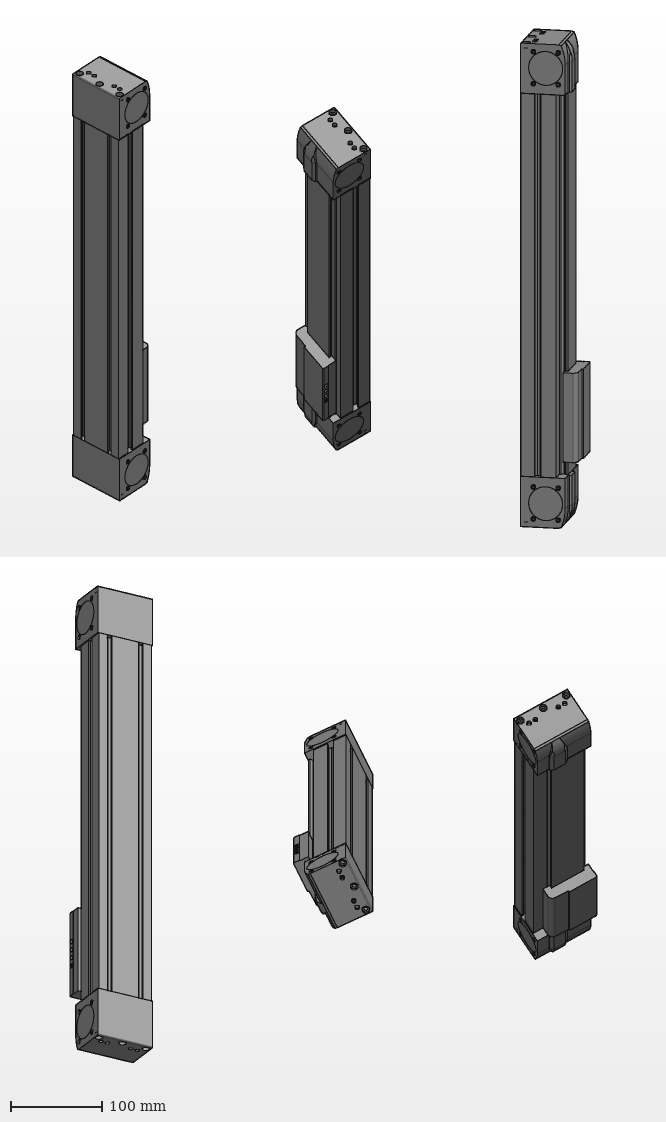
import cadquery as cq


SMALL_HOLE_DIAMETER = 3.2

LENGTH = 546.0
WIDTH = 69.0

HEAD_LENGTH = 57.0
HEAD_HEIGHT = 50.0
HEAD_END_HEIGHT = 43.0
HEAD_LIP_RISE = 3.0
HEAD_LIP_LENGTH = 1.0
HEAD_NOSE_LENGTH = 22.5
HEAD_EDGE_RADIUS = 1.0

HUMP_X = 8.0
HUMP_HEIGHT = 54.0
HUMP_WIDTH = 23.0
HUMP_TIP_WIDTH = 9.5
HUMP_SHOULDER = 52.0
HUMP_TAPER = 62.0
HUMP_OVERRUN = 11.0

COVER_DIAMETER = 38.0
COVER_DEPTH = 5.5
COVER_Y = 28.5
COVER_Z = 27.5
SIDE_HOLE_BORE = 5.0
SIDE_HOLE_BORE_DEPTH = 1.5
SIDE_HOLE_DEPTH = 8.0
SIDE_HOLE_PITCH_Y = 28.0
SIDE_HOLE_PITCH_Z = 36.0

END_SCREW_X = 29.5
END_SCREW_Y = 6.0
END_SCREW_BORE = 8.0
END_SCREW_BORE_DEPTH = 5.5
END_SCREW_HOLE = 4.5
END_SCREW_HOLE_DEPTH = 16.5
MIDDLE_CORE_DEPTH = 22.0
INNER_PORT_X = 15.0
OUTER_PORT_X = 23.0
PORT_Y = 13.5
PORT_DIAMETER = 5.0
PORT_DEPTH = 5.5
INNER_PORT_CORE_DEPTH = 11.0

PROFILE_WIDTH = 66.5
PROFILE_HEIGHT = 40.0
SLOT_X = 19.5
SIDE_SLOT_Y = 19.0
BOTTOM_SLOT_MOUTH = 5.5
SIDE_SLOT_MOUTH = 7.0
SLOT_MOUTH_DEPTH = 2.0
SLOT_INNER_WIDTH = 10.0
SLOT_DEPTH = 6.0
SLOT_FLOOR_GROOVE_WIDTH = 3.0
SLOT_FLOOR_GROOVE_DEPTH = 1.0

RAIL_WIDTH = 41.5
RAIL_WAIST_WIDTH = 36.0
RAIL_TOP = 49.5
RAIL_GROOVE_TOP = 47.5
RAIL_WAIST_TOP = 45.5
RAIL_WAIST_BOTTOM = 44.0
RAIL_GROOVE_BOTTOM = 41.5

CARRIAGE_BOTTOM_Z = 72.5
CARRIAGE_LENGTH = 101.0
CARRIAGE_BOTTOM = 46.0
CARRIAGE_TOP = 64.0
CARRIAGE_LEFT = -WIDTH / 2
CARRIAGE_RIGHT = 24.5
CARRIAGE_MIDDLE = (CARRIAGE_LEFT + CARRIAGE_RIGHT) / 2
TOP_LEFT_CHAMFER = 1.0
STEP_X = 1.5
STEP_DROP = 1.5
SLOPE_END_X = 18.5
SLOPE_DROP = 2.0
SHOULDER_DROP = 7.0
FLANK_INSET = 0.5
FLANK_TOP = 56.0
CARRIAGE_HOLE_Y = 59.5
CARRIAGE_HOLE_COUNT = 4
CARRIAGE_HOLE_PITCH = 10.0
CARRIAGE_HOLE_DIAMETER = 5.0
CARRIAGE_HOLE_DEPTH = 8.0
STEPPED_HOLE_BORE_DEPTH = 1.0

HEAD_JOINT_Z = LENGTH - HEAD_LENGTH
PROFILE_LENGTH = LENGTH - 2 * HEAD_LENGTH
NOSE_START_Z = LENGTH - HEAD_NOSE_LENGTH
COVER_CENTRE_Z = LENGTH - COVER_Z
CARRIAGE_MIDDLE_Z = CARRIAGE_BOTTOM_Z + CARRIAGE_LENGTH / 2


def head_side_outline(height):
    """Side outline of the upper head, with a rounded nose that rises to the given height."""
    lip_y = HEAD_END_HEIGHT + HEAD_LIP_RISE
    lip_z = LENGTH - HEAD_LIP_LENGTH
    return (
        cq.Workplane("YZ")
        .moveTo(0, HEAD_JOINT_Z)
        .lineTo(height, HEAD_JOINT_Z)
        .lineTo(height, NOSE_START_Z)
        .tangentArcPoint((lip_y, lip_z), relative=False)
        .lineTo(HEAD_END_HEIGHT, LENGTH)
        .lineTo(0, LENGTH)
        .close()
    )


def hump_footprint():
    """Plan outline of the hump, narrowing to the end of the head and overrunning its inner face."""
    start_z = HEAD_JOINT_Z - HUMP_OVERRUN
    return (
        cq.Workplane("XZ", origin=(HUMP_X, HUMP_SHOULDER, 0))
        .moveTo(-HUMP_WIDTH / 2, start_z)
        .lineTo(HUMP_WIDTH / 2, start_z)
        .lineTo(HUMP_WIDTH / 2, NOSE_START_Z)
        .lineTo(HUMP_TIP_WIDTH / 2, LENGTH)
        .lineTo(-HUMP_TIP_WIDTH / 2, LENGTH)
        .lineTo(-HUMP_WIDTH / 2, NOSE_START_Z)
        .close()
    )


def make_hump():
    """Raised tape guide with sloping flanks, following the nose of the head."""
    base = hump_footprint().extrude(HUMP_SHOULDER - HEAD_END_HEIGHT)
    crown = hump_footprint().extrude(HUMP_SHOULDER - HUMP_HEIGHT, taper=HUMP_TAPER)
    side = head_side_outline(HUMP_HEIGHT).extrude(WIDTH / 2, both=True)
    return base.union(crown).intersect(side)


def side_face(side):
    """Workplane on a side face of the upper head, centred on its cover; side is -1 or 1.

    Local x is Y, local y is Z, and positive extrusion goes outwards to +X.
    """
    return cq.Workplane("YZ", origin=(side * WIDTH / 2, COVER_Y, COVER_CENTRE_Z))


def make_cover(side):
    """Round cover, flush with the side face of the upper head."""
    return side_face(side).circle(COVER_DIAMETER / 2).extrude(-side * COVER_DEPTH)


def side_holes(side, diameter, depth):
    """Round cutters for the four holes around a cover."""
    return (
        side_face(side)
        .rect(SIDE_HOLE_PITCH_Y, SIDE_HOLE_PITCH_Z, forConstruction=True)
        .vertices()
        .circle(diameter / 2)
        .extrude(-side * depth)
    )


def cut_side_features(head, side):
    """Recess for the cover and the four stepped holes around it."""
    head = head.cut(make_cover(side))
    head = head.cut(side_holes(side, SIDE_HOLE_BORE, SIDE_HOLE_BORE_DEPTH))
    return head.cut(side_holes(side, SMALL_HOLE_DIAMETER, SIDE_HOLE_DEPTH))


def end_holes(points, diameter, depth):
    """Round cutters going into the end face of the upper head."""
    end_face = cq.Workplane("XY", origin=(0, 0, LENGTH))
    return end_face.pushPoints(points).circle(diameter / 2).extrude(-depth)


def cut_end_holes(head):
    """Counterbored screw holes and ports; the middle screw and inner ports have a smaller core."""
    middle_screw = [(0, END_SCREW_Y)]
    screws = middle_screw + [(-END_SCREW_X, END_SCREW_Y), (END_SCREW_X, END_SCREW_Y)]
    inner_ports = [(-INNER_PORT_X, PORT_Y), (INNER_PORT_X, PORT_Y)]
    outer_ports = [(-OUTER_PORT_X, PORT_Y), (OUTER_PORT_X, PORT_Y)]
    holes = [
        (screws, END_SCREW_BORE, END_SCREW_BORE_DEPTH),
        (screws, END_SCREW_HOLE, END_SCREW_HOLE_DEPTH),
        (middle_screw, SMALL_HOLE_DIAMETER, MIDDLE_CORE_DEPTH),
        (inner_ports + outer_ports, PORT_DIAMETER, PORT_DEPTH),
        (inner_ports, SMALL_HOLE_DIAMETER, INNER_PORT_CORE_DEPTH),
    ]
    for points, diameter, depth in holes:
        head = head.cut(end_holes(points, diameter, depth))
    return head


def make_head():
    """Upper end head."""
    head = head_side_outline(HEAD_HEIGHT).extrude(WIDTH / 2, both=True)
    head = head.edges("|X and <Y and >Z").fillet(HEAD_EDGE_RADIUS)
    head = head.union(make_hump())
    for side in (-1, 1):
        head = cut_side_features(head, side)
    return cut_end_holes(head)


def mirrored_to_lower_end(body):
    """Copy of a body of the upper end, mirrored about the middle of the length."""
    return body.mirror("XY", (0, 0, LENGTH / 2))


def slot_layer(width, start, depth):
    """Bar along the profile, centred on X = 0, from Y = start and going in by the depth."""
    return (
        cq.Workplane("XY", origin=(0, start + depth / 2, HEAD_LENGTH))
        .rect(width, depth)
        .extrude(PROFILE_LENGTH)
    )


def slot_cutter(mouth_width):
    """T-slot along Z with a grooved floor, open on the plane Y = 0 and going in towards +Y."""
    mouth = slot_layer(mouth_width, 0, SLOT_MOUTH_DEPTH)
    inner = slot_layer(SLOT_INNER_WIDTH, SLOT_MOUTH_DEPTH, SLOT_DEPTH - SLOT_MOUTH_DEPTH)
    groove = slot_layer(SLOT_FLOOR_GROOVE_WIDTH, SLOT_DEPTH, SLOT_FLOOR_GROOVE_DEPTH)
    return mouth.union(inner).union(groove)


def make_profile():
    """Extruded profile with two T-slots underneath and one on each side."""
    profile = (
        cq.Workplane("XY", origin=(0, PROFILE_HEIGHT / 2, HEAD_LENGTH))
        .rect(PROFILE_WIDTH, PROFILE_HEIGHT)
        .extrude(PROFILE_LENGTH)
    )
    for side in (-1, 1):
        bottom_slot = slot_cutter(BOTTOM_SLOT_MOUTH).translate((side * SLOT_X, 0, 0))
        side_slot = (
            slot_cutter(SIDE_SLOT_MOUTH)
            .rotate((0, 0, 0), (0, 0, 1), side * 90)
            .translate((side * PROFILE_WIDTH / 2, SIDE_SLOT_Y, 0))
        )
        profile = profile.cut(bottom_slot).cut(side_slot)
    return profile


def make_rail():
    """Guide rail with a groove of sloping flanks along each side."""
    half = RAIL_WIDTH / 2
    right_side = [
        (half, PROFILE_HEIGHT),
        (half, RAIL_GROOVE_BOTTOM),
        (RAIL_WAIST_WIDTH / 2, RAIL_WAIST_BOTTOM),
        (RAIL_WAIST_WIDTH / 2, RAIL_WAIST_TOP),
        (half, RAIL_GROOVE_TOP),
        (half, RAIL_TOP),
    ]
    left_side = [(-x, y) for x, y in reversed(right_side)]
    return (
        cq.Workplane("XY", origin=(CARRIAGE_MIDDLE, 0, HEAD_LENGTH))
        .polyline(right_side + left_side)
        .close()
        .extrude(PROFILE_LENGTH)
    )


def carriage_holes(offsets, diameter, depth):
    """Round cutters going into the left side of the carriage, at Z offsets from its middle."""
    return (
        cq.Workplane("YZ", origin=(CARRIAGE_LEFT, CARRIAGE_HOLE_Y, CARRIAGE_MIDDLE_Z))
        .pushPoints([(0, offset) for offset in offsets])
        .circle(diameter / 2)
        .extrude(depth)
    )


def make_carriage(rail):
    """Carriage that rides on the rail, with a stepped and rounded top and holes in its left side."""
    flank_x = CARRIAGE_LEFT + FLANK_INSET
    step_y = CARRIAGE_TOP - STEP_DROP
    slope_y = CARRIAGE_TOP - SLOPE_DROP
    carriage = (
        cq.Workplane("XY", origin=(0, 0, CARRIAGE_BOTTOM_Z))
        .moveTo(flank_x, CARRIAGE_BOTTOM)
        .lineTo(flank_x, FLANK_TOP)
        .lineTo(CARRIAGE_LEFT, FLANK_TOP)
        .lineTo(CARRIAGE_LEFT, CARRIAGE_TOP - TOP_LEFT_CHAMFER)
        .lineTo(CARRIAGE_LEFT + TOP_LEFT_CHAMFER, CARRIAGE_TOP)
        .lineTo(STEP_X, CARRIAGE_TOP)
        .lineTo(STEP_X, step_y)
        .lineTo(SLOPE_END_X, slope_y)
        .tangentArcPoint((CARRIAGE_RIGHT, CARRIAGE_TOP - SHOULDER_DROP), relative=False)
        .lineTo(CARRIAGE_RIGHT, CARRIAGE_BOTTOM)
        .close()
        .extrude(CARRIAGE_LENGTH)
    )
    first_offset = -CARRIAGE_HOLE_PITCH * (CARRIAGE_HOLE_COUNT - 1) / 2
    plain_offsets = [first_offset + i * CARRIAGE_HOLE_PITCH for i in range(1, CARRIAGE_HOLE_COUNT)]
    carriage = carriage.cut(carriage_holes(plain_offsets, CARRIAGE_HOLE_DIAMETER, CARRIAGE_HOLE_DEPTH))
    carriage = carriage.cut(carriage_holes([first_offset], CARRIAGE_HOLE_DIAMETER, STEPPED_HOLE_BORE_DEPTH))
    carriage = carriage.cut(carriage_holes([first_offset], SMALL_HOLE_DIAMETER, CARRIAGE_HOLE_DEPTH))
    return carriage.cut(rail)


profile = make_profile()
rail = make_rail()
carriage = make_carriage(rail)

upper_head = make_head()
heads = [upper_head, mirrored_to_lower_end(upper_head)]

covers = []
for side in (-1, 1):
    cover = make_cover(side)
    covers += [cover, mirrored_to_lower_end(cover)]

bodies = [profile, rail, carriage, *heads, *covers]
result = cq.Compound.makeCompound([body.val() for body in bodies])